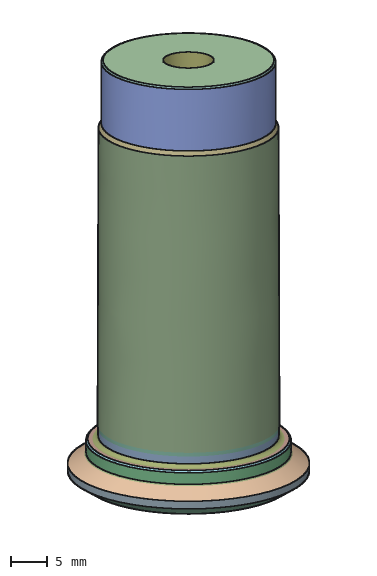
import cadquery as cq

TOTAL_HEIGHT = 60.5
BORE_DIAMETER = 6.92

FLANGE_RADIUS = 33.0 / 2
FLANGE_BOTTOM_RADIUS = 14.2
RIM_BOTTOM_Z = 1.5
RIM_TOP_Z = 2.6
FLANGE_CONE_TOP_Z = 4.0

COLLAR_RADIUS = 28.0 / 2
COLLAR_FLARE = 0.2
COLLAR_BASE_Z = FLANGE_CONE_TOP_Z + COLLAR_FLARE
COLLAR_TOP_Z = 6.1
COLLAR_CHAMFER = 0.25

RELIEF_RADIUS = 24.7 / 2
RELIEF_TOP_Z = 7.65
RELIEF_CURVE_RADIUS = 13.1
RELIEF_CURVE_HEIGHT = 0.5

BODY_BOTTOM_RADIUS = 24.85 / 2
BODY_TOP_RADIUS = 24.6 / 2
BODY_BOTTOM_Z = 8.2
BODY_TOP_Z = 50.8

HEAD_RADIUS = 23.8 / 2
HEAD_BASE_Z = 51.4
HEAD_CHAMFER = 0.25


def relief_curve_middle():
    """Midpoint of the concave arc that is tangent to the top face of the collar."""
    run = RELIEF_CURVE_RADIUS - RELIEF_RADIUS
    arc_radius = (run**2 + RELIEF_CURVE_HEIGHT**2) / (2 * RELIEF_CURVE_HEIGHT)
    middle_run = run / 2
    rise = arc_radius - (arc_radius**2 - middle_run**2) ** 0.5
    return (RELIEF_CURVE_RADIUS - middle_run, COLLAR_TOP_Z + rise)


def turned_body():
    """Solid of revolution about Z, from a profile of (radius, height) points."""
    profile = (
        cq.Workplane("XZ")
        .moveTo(0, 0)
        .lineTo(FLANGE_BOTTOM_RADIUS, 0)
        .lineTo(FLANGE_RADIUS, RIM_BOTTOM_Z)
        .lineTo(FLANGE_RADIUS, RIM_TOP_Z)
        .lineTo(COLLAR_RADIUS + COLLAR_FLARE, FLANGE_CONE_TOP_Z)
        .lineTo(COLLAR_RADIUS, COLLAR_BASE_Z)
        .lineTo(COLLAR_RADIUS, COLLAR_TOP_Z - COLLAR_CHAMFER)
        .lineTo(COLLAR_RADIUS - COLLAR_CHAMFER, COLLAR_TOP_Z)
        .lineTo(RELIEF_CURVE_RADIUS, COLLAR_TOP_Z)
        .threePointArc(relief_curve_middle(), (RELIEF_RADIUS, COLLAR_TOP_Z + RELIEF_CURVE_HEIGHT))
        .lineTo(RELIEF_RADIUS, RELIEF_TOP_Z)
        .lineTo(BODY_BOTTOM_RADIUS, BODY_BOTTOM_Z)
        .lineTo(BODY_TOP_RADIUS, BODY_TOP_Z)
        .lineTo(HEAD_RADIUS, HEAD_BASE_Z)
        .lineTo(HEAD_RADIUS, TOTAL_HEIGHT - HEAD_CHAMFER)
        .lineTo(HEAD_RADIUS - HEAD_CHAMFER, TOTAL_HEIGHT)
        .lineTo(0, TOTAL_HEIGHT)
        .close()
    )
    return profile.revolve(360, (0, 0, 0), (0, 1, 0))


def bore():
    """Cylinder that opens the axial hole through the full height."""
    return cq.Workplane("XY").circle(BORE_DIAMETER / 2).extrude(TOTAL_HEIGHT)


result = turned_body().cut(bore())